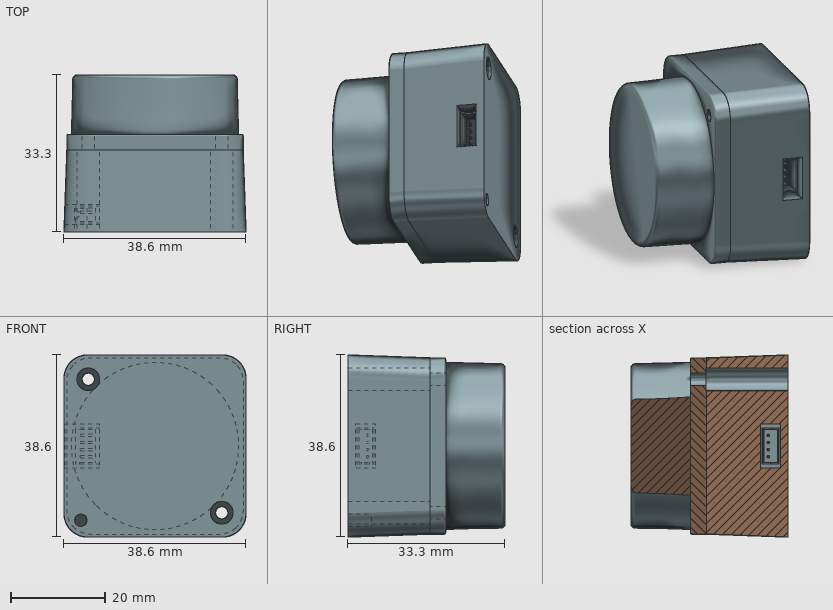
import cadquery as cq


base_side = 38.6
base_length = 17.35
corner_radius = 5.0

plate_side = 37.35
plate_thickness = 3.35
plate_edge_radius = 0.45

cap_length = 12.58
cap_front_radius = 17.7
cap_back_radius = 17.4
cap_edge_radius = 1.0

screw_offset = 14.12
screw_diameter = 2.6
screw_head_diameter = 4.8
locating_offset = 15.7
locating_diameter = 2.6
locating_depth = 5.0

window_width = 4.2
window_height = 9.22
window_center_y = 3.75
rim_depth = 2.5

connector_width = 3.55
connector_height = 7.65
connector_length = 5.0
connector_wall = 0.35
cavity_depth = 4.25
notch_radius = 0.8
pin_count = 4
pin_pitch = 1.5
pin_diameter = 0.5
pin_length = 3.1
pin_center_y = 4.2

base_outer_x = -base_side / 2
seam_y = base_length
plate_back_y = seam_y + plate_thickness
cap_back_y = plate_back_y + cap_length
rim_x = base_outer_x + rim_depth
connector_back_x = rim_x + connector_length
screw_points = [(-screw_offset, screw_offset), (screw_offset, -screw_offset)]


def section_at(y):
    """Workplane facing +Y at the given Y, with local x along -X and local y along +Z."""
    return cq.Workplane(cq.Plane(origin=(0, y, 0), xDir=(-1, 0, 0), normal=(0, 1, 0)))


def mirrored(points):
    """Turn (X, Z) points into the local coordinates of section_at."""
    return [(-x, z) for x, z in points]


def rounded_square(side):
    return cq.Sketch().rect(side, side).vertices().fillet(corner_radius)


def round_holes(points, diameter, start_y, depth):
    return section_at(start_y).pushPoints(mirrored(points)).circle(diameter / 2).extrude(depth)


def box_along_x(start_x, end_x, width, height):
    """Box centered on the connector window, running from start_x to end_x."""
    return cq.Workplane("XY").box(end_x - start_x, width, height).translate(
        ((start_x + end_x) / 2, window_center_y, 0)
    )


def make_base():
    block = (
        section_at(0)
        .placeSketch(
            rounded_square(base_side),
            rounded_square(plate_side).moved(cq.Location(cq.Vector(0, 0, base_length))),
        )
        .loft(ruled=True)
    )
    screw_bores = round_holes(screw_points, screw_head_diameter, 0, base_length)
    locating_hole = round_holes([(-locating_offset, -locating_offset)], locating_diameter, 0, locating_depth)
    window = box_along_x(base_outer_x, connector_back_x, window_width, window_height)
    return block.cut(screw_bores).cut(locating_hole).cut(window)


def make_plate():
    slab = section_at(seam_y).placeSketch(rounded_square(plate_side)).extrude(plate_thickness)
    slab = slab.faces(">Y").edges().fillet(plate_edge_radius)
    return slab.cut(round_holes(screw_points, screw_diameter, seam_y, plate_thickness))


def make_cap():
    half_section = [
        (plate_back_y, 0),
        (plate_back_y, cap_front_radius),
        (cap_back_y, cap_back_radius),
        (cap_back_y, 0),
    ]
    cone = cq.Workplane("YZ").polyline(half_section).close().revolve(360, (0, 0, 0), (1, 0, 0))
    return cone.faces(">Y").edges().fillet(cap_edge_radius)


def make_pin(z):
    """Round pin standing on the cavity floor, with a domed tip."""
    floor = cq.Workplane("YZ", origin=(rim_x + cavity_depth, pin_center_y, z))
    pin = floor.circle(pin_diameter / 2).extrude(-pin_length)
    tip = floor.workplane(offset=-pin_length).sphere(pin_diameter / 2)
    return pin.union(tip)


def make_connector():
    shell = box_along_x(rim_x, connector_back_x, connector_width, connector_height)
    cavity_width = connector_width - 2 * connector_wall
    cavity_height = connector_height - 2 * connector_wall
    shell = shell.cut(box_along_x(rim_x, rim_x + cavity_depth, cavity_width, cavity_height))
    notch = (
        cq.Workplane("XY", origin=(rim_x, window_center_y, 0))
        .circle(notch_radius)
        .extrude(connector_height / 2, both=True)
    )
    shell = shell.cut(notch)
    for index in range(pin_count):
        shell = shell.union(make_pin((index - (pin_count - 1) / 2) * pin_pitch))
    return shell


base = make_base()
plate = make_plate()
cap = make_cap()
connector = make_connector()

result = cq.Compound.makeCompound([base.val(), plate.val(), cap.val(), connector.val()])